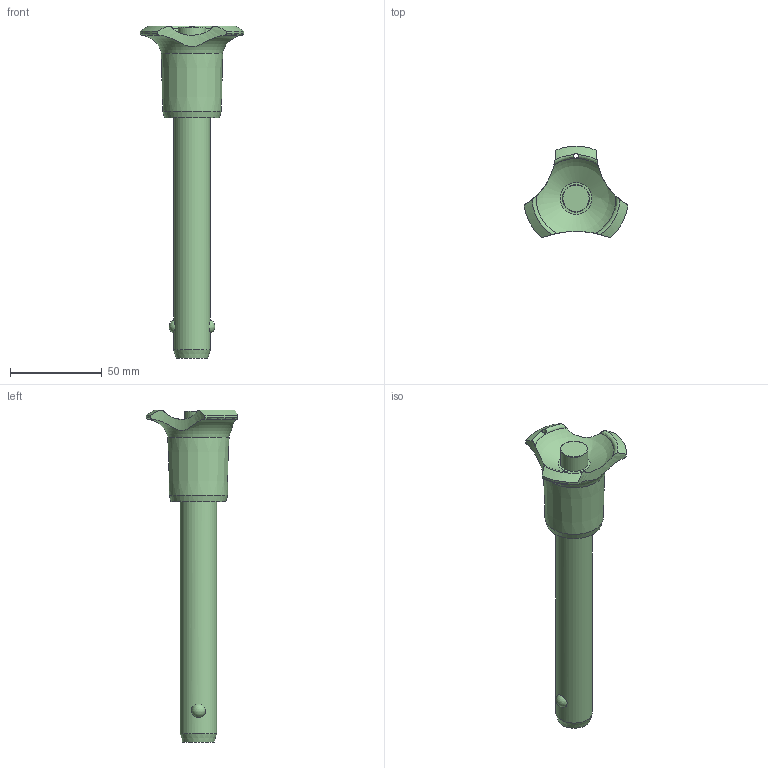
import cadquery as cq
import math

shank_radius = 10.0
shank_length = 131.2
tip_radius = 8.7
tip_length = 4.4

ball_radius = 3.9
ball_reach = 12.5
ball_above_tip = 17.1

handle_height = 50.0
shoulder_radius = 15.0
barrel_bottom_radius = 15.95
barrel_top_radius = 16.75
barrel_bottom_height = 3.5
barrel_top_height = handle_height - 14.75

flare_mid_radius = 19.4
flare_mid_height = handle_height - 9.3
rim_radius = 28.55
rim_bottom_height = handle_height - 5.0
rim_edge_rounding = 1.0
rim_chamfer_drop = 2.8
crest_radius = 23.9

bowl_lip_radius = 21.8
bowl_lip_drop = 1.6
bowl_mid_radius = 18.05
bowl_mid_drop = 5.05
bowl_floor_radius = 8.7
bowl_floor_drop = 10.3

cut_clearance = 5.0

button_radius = 7.5
button_top_height = handle_height - 0.6
button_edge_rounding = 0.3

scallop_distance = 18.05
side_scallop_radius = 34.0
front_scallop_radius = 53.0
side_scallop_angles = (30.0, 150.0)
front_scallop_angle = 270.0

lanyard_hole_radius = 1.35
lanyard_hole_distance = 23.3


def make_shank():
    tip_height = -shank_length
    return (
        cq.Workplane("XZ")
        .moveTo(0, 0)
        .lineTo(shank_radius, 0)
        .lineTo(shank_radius, tip_height + tip_length)
        .lineTo(tip_radius, tip_height)
        .lineTo(0, tip_height)
        .close()
        .revolve(360, (0, 0, 0), (0, 1, 0))
    )


def make_balls():
    centre_distance = ball_reach - ball_radius
    centre_height = ball_above_tip - shank_length
    return (
        cq.Workplane("XY", origin=(0, 0, centre_height))
        .pushPoints([(-centre_distance, 0), (centre_distance, 0)])
        .sphere(ball_radius)
    )


def make_handle_body():
    lip_height = handle_height - bowl_lip_drop
    diagonal = math.sqrt(0.5)
    lip_mid_radius = crest_radius - (crest_radius - bowl_lip_radius) * diagonal
    lip_mid_height = lip_height + bowl_lip_drop * diagonal
    floor_height = handle_height - bowl_floor_drop
    rounding_end = rim_radius - rim_edge_rounding
    rounding_mid = rim_edge_rounding * diagonal
    rounding_height = rim_bottom_height + rim_edge_rounding
    return (
        cq.Workplane("XZ")
        .moveTo(0, 0)
        .lineTo(shoulder_radius, 0)
        .lineTo(barrel_bottom_radius, barrel_bottom_height)
        .lineTo(barrel_top_radius, barrel_top_height)
        .threePointArc((flare_mid_radius, flare_mid_height), (rounding_end, rim_bottom_height))
        .threePointArc(
            (rounding_end + rounding_mid, rounding_height - rounding_mid),
            (rim_radius, rounding_height),
        )
        .lineTo(rim_radius, handle_height - rim_chamfer_drop)
        .lineTo(crest_radius, handle_height)
        .threePointArc((lip_mid_radius, lip_mid_height), (bowl_lip_radius, lip_height))
        .threePointArc(
            (bowl_mid_radius, handle_height - bowl_mid_drop),
            (bowl_floor_radius, floor_height),
        )
        .lineTo(0, floor_height)
        .close()
        .revolve(360, (0, 0, 0), (0, 1, 0))
    )


def make_scallop(angle, radius):
    centre_distance = scallop_distance + radius
    direction = math.radians(angle)
    return (
        cq.Workplane("XY")
        .center(centre_distance * math.cos(direction), centre_distance * math.sin(direction))
        .circle(radius)
        .extrude(handle_height + cut_clearance)
    )


def make_button():
    floor_height = handle_height - bowl_floor_drop
    return (
        cq.Workplane("XY", origin=(0, 0, floor_height))
        .circle(button_radius)
        .extrude(button_top_height - floor_height)
        .faces(">Z")
        .edges()
        .fillet(button_edge_rounding)
    )


def make_lanyard_hole():
    return (
        cq.Workplane("XY")
        .center(0, lanyard_hole_distance)
        .circle(lanyard_hole_radius)
        .extrude(handle_height + cut_clearance)
    )


handle = make_handle_body()
for side_angle in side_scallop_angles:
    handle = handle.cut(make_scallop(side_angle, side_scallop_radius))
handle = handle.cut(make_scallop(front_scallop_angle, front_scallop_radius))
handle = handle.cut(make_lanyard_hole())

result = handle.union(make_button()).union(make_shank()).union(make_balls())